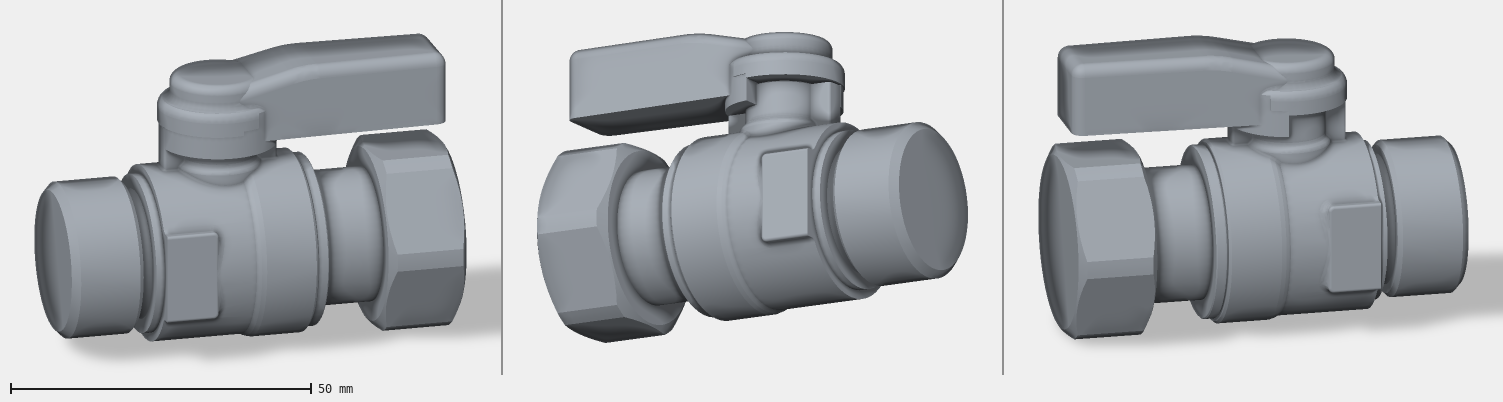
import cadquery as cq
import math


tolerance = 0.015

thread_end = 11.5
thread_chamfer_end = 12.3
collar_start = 14.2
body_start = 15.7
ring_start = 31.95
ring_end = 41.7
flange_start = 42.0
flange_end = 43.75
nut_start = 53.9
nut_end = 67.4
stem_y = 28.4

thread_radius = 13.15
thread_end_chamfer = 1.3
thread_back_chamfer = 0.75
groove_radius = 10.4
groove_side_depth = 0.55
collar_radius = 13.35
body_radius = 14.8
ring_radius = 15.45
ring_bevel = 0.4
flange_radius = 14.55
flange_bevel = 0.2
undercut_radius = 14.3
neck_radius = 11.3
shoulder_blend = 0.8

nut_across_flats = 29.9
nut_corner_radius = 16.48
nut_bevel_angle = 30.0
nut_bevel_length = 1.1

pad_half_width = 14.95
pad_half_height = 7.55
pad_end = 24.6
pad_corner = 0.9
pad_edge_round = 0.5
pad_root_fillet = 1.35

stem_radius = 6.5
stem_base_radius = 7.4
flare_top = 16.2
stem_top = 22.1
spindle_radius = 5.7
flare_round = 0.8
stem_root_fillet = 0.4
rib_reach = 9.875
rib_half_width = 1.95
rib_round = 0.5
rib_root_fillet = 0.35

cap_radius = 10.075
cap_bottom = 22.45
cap_round_start = 24.9
cap_shoulder = 26.4
hub_radius = 8.0
neck_round = 1.3
cap_shoulder_radius = hub_radius + neck_round
hub_top = 30.565
hub_round = 1.55

skirt_radius = 9.875
skirt_bottom = 18.6
skirt_round = 1.15
skirt_opening_x = 2.0
skirt_opening_y = stem_y + 1.9
cap_notch_y = stem_y + 4.8
cap_notch_bottom = 23.2

lever_end = 66.3
lever_bottom = 20.4
lever_top = 32.5
lever_end_half_width = 6.75
lever_root_half_width = 7.9
lever_round = 1.95
lever_bend_start = 43.95
lever_bend_radius = 20.9
lever_slope_angle = math.radians(13.5)
lever_root_fillet = 0.8


def edges_where(part, test):
    """Pick the edges whose points all pass the test."""
    samples = (0.1, 0.5, 0.9)
    edges = [e for e in part.edges().vals() if all(test(e.positionAt(t)) for t in samples)]
    return part.newObject(edges)


def flow_distance(point):
    return math.hypot(point.x, point.z)


def stem_distance(point):
    return math.hypot(point.x, point.y - stem_y)


def revolve_about_flow(profile):
    """Turn a closed (radius, y) profile about the flow axis."""
    return profile.close().revolve(360, (0, 0, 0), (0, 1, 0))


def revolve_about_stem(profile):
    """Turn a closed (radius, z) profile about Z and move it onto the stem axis."""
    return profile.close().revolve(360, (0, 0, 0), (0, 1, 0)).translate((0, stem_y, 0))


def stem_cylinder(radius, bottom, top):
    return cq.Workplane("XY", origin=(0, stem_y, bottom)).circle(radius).extrude(top - bottom)


def make_body():
    groove_lip = groove_radius + groove_side_depth
    profile = (
        cq.Workplane("XY")
        .lineTo(thread_radius - thread_end_chamfer, 0)
        .lineTo(thread_radius, thread_end_chamfer)
        .lineTo(thread_radius, thread_end)
        .lineTo(thread_radius - thread_back_chamfer, thread_chamfer_end)
        .lineTo(groove_lip, thread_chamfer_end)
        .threePointArc(
            (groove_radius, (thread_chamfer_end + collar_start) / 2),
            (groove_lip, collar_start),
        )
        .lineTo(collar_radius, collar_start)
        .lineTo(collar_radius, body_start)
        .lineTo(body_radius, body_start)
        .lineTo(body_radius, ring_start - shoulder_blend)
        .lineTo(ring_radius - ring_bevel / 2, ring_start)
        .lineTo(ring_radius, ring_start + shoulder_blend)
        .lineTo(ring_radius, ring_end - ring_bevel)
        .lineTo(ring_radius - ring_bevel, ring_end)
        .lineTo(undercut_radius, ring_end)
        .lineTo(undercut_radius, flange_start)
        .lineTo(flange_radius, flange_start)
        .lineTo(flange_radius, flange_end - flange_bevel)
        .lineTo(flange_radius - flange_bevel, flange_end)
        .lineTo(neck_radius, flange_end)
        .lineTo(neck_radius, nut_start)
        .lineTo(0, nut_start)
    )
    return revolve_about_flow(profile)


def make_nut():
    corner_distance = nut_across_flats / math.sqrt(3)
    hexagon = (
        cq.Workplane("XZ", origin=(0, nut_end, 0))
        .polygon(6, 2 * corner_distance)
        .extrude(nut_end - nut_start)
    )
    end_radius = nut_corner_radius - nut_bevel_length / math.tan(math.radians(nut_bevel_angle))
    envelope = revolve_about_flow(
        cq.Workplane("XY")
        .moveTo(0, nut_start)
        .lineTo(end_radius, nut_start)
        .lineTo(nut_corner_radius, nut_start + nut_bevel_length)
        .lineTo(nut_corner_radius, nut_end - nut_bevel_length)
        .lineTo(end_radius, nut_end)
        .lineTo(0, nut_end)
    )
    return hexagon.intersect(envelope)


def add_wrench_pads(body):
    length = pad_end - body_start
    pads = (
        cq.Workplane("XY")
        .box(2 * pad_half_width, length, 2 * pad_half_height)
        .edges(">Y and |X")
        .fillet(pad_corner)
        .faces("<X or >X")
        .edges("not <Y")
        .fillet(pad_edge_round)
        .translate((0, body_start + length / 2, 0))
    )

    def on_pad_root(point):
        on_body = abs(flow_distance(point) - body_radius) < tolerance
        return on_body and body_start + tolerance < point.y < pad_end + tolerance

    return edges_where(body.union(pads), on_pad_root).fillet(pad_root_fillet)


def make_stem():
    flare_bottom = flare_top - (stem_base_radius - stem_radius)
    stem = revolve_about_stem(
        cq.Workplane("XZ")
        .lineTo(stem_base_radius, 0)
        .lineTo(stem_base_radius, flare_bottom)
        .lineTo(stem_radius, flare_top)
        .lineTo(stem_radius, stem_top)
        .lineTo(spindle_radius, stem_top)
        .lineTo(spindle_radius, cap_bottom)
        .lineTo(0, cap_bottom)
    )
    near_axis = 0.7
    flare_circles = cq.selectors.BoxSelector(
        (-near_axis, stem_y - near_axis, flare_bottom - near_axis),
        (near_axis, stem_y + near_axis, flare_top + near_axis),
    )
    return stem.edges(flare_circles).fillet(flare_round)


def add_stem(body):
    """Join the stem to the body and soften the saddle-shaped seam between them."""

    def on_stem_root(point):
        on_body = body_radius - tolerance < flow_distance(point) < ring_radius + tolerance
        on_stem = stem_radius < stem_distance(point) < stem_base_radius + tolerance
        return on_body and on_stem and point.z > 0

    return edges_where(body.union(make_stem()), on_stem_root).fillet(stem_root_fillet)


def add_ribs(body):
    """One plate across the stem forms both stop ribs, with ends rounded to the skirt radius."""
    plate = (
        cq.Workplane("XY", origin=(0, stem_y, 0))
        .rect(2 * rib_half_width, 3 * rib_reach)
        .extrude(stem_top)
    )
    ribs = plate.intersect(stem_cylinder(rib_reach, 0, stem_top)).edges("|Z").fillet(rib_round)

    def in_rib_corner(point):
        on_stem = abs(stem_distance(point) - stem_radius) < tolerance
        on_rib = abs(abs(point.x) - rib_half_width) < tolerance
        return on_stem and on_rib and point.z > flare_top

    return edges_where(body.union(ribs), in_rib_corner).fillet(rib_root_fillet)


def make_cap():
    arc = math.sqrt(0.5)
    hub_flat = hub_radius - hub_round
    return revolve_about_stem(
        cq.Workplane("XZ")
        .moveTo(0, cap_bottom)
        .lineTo(cap_radius, cap_bottom)
        .lineTo(cap_radius, cap_round_start)
        .tangentArcPoint((cap_shoulder_radius, cap_shoulder), relative=False)
        .threePointArc(
            (hub_radius + neck_round * (1 - arc), cap_shoulder + neck_round * (1 - arc)),
            (hub_radius, cap_shoulder + neck_round),
        )
        .lineTo(hub_radius, hub_top - hub_round)
        .threePointArc(
            (hub_flat + hub_round * arc, hub_top - hub_round * (1 - arc)),
            (hub_flat, hub_top),
        )
        .lineTo(0, hub_top)
    )


def make_skirt_opening():
    """Quarter-turn clearance below the cap, in which the front stop rib travels."""
    opening = cq.Workplane("XY").box(
        2 * cap_radius, 2 * cap_radius, cap_bottom - skirt_bottom, centered=False
    )
    corner = (skirt_opening_x - 2 * cap_radius, skirt_opening_y - 2 * cap_radius, skirt_bottom)
    return opening.translate(corner)


def trim_cap_rim(cap):
    """Step the rear of the cap rim in to the skirt radius, higher up beside the lever."""
    for start, top in ((skirt_opening_y, cap_notch_bottom), (cap_notch_y, cap_shoulder)):
        rim = stem_cylinder(cap_radius + 0.7, cap_bottom, top)
        rim = rim.cut(stem_cylinder(skirt_radius, cap_bottom, top))
        rear = cq.Workplane("XY", origin=(0, start + cap_radius, cap_bottom)).box(
            4 * cap_radius, 2 * cap_radius, top - cap_bottom, centered=(True, True, False)
        )
        cap = cap.cut(rim.intersect(rear))
    return cap


def make_lever():
    """Tapered bar, bent down towards the hub, with rounded top and end edges."""
    bend_end = lever_bend_start - lever_bend_radius * math.sin(lever_slope_angle)
    bend_drop = lever_bend_radius * (1 - math.cos(lever_slope_angle))
    half_angle = lever_slope_angle / 2
    bend_mid = (
        lever_bend_start - lever_bend_radius * math.sin(half_angle),
        lever_top - lever_bend_radius * (1 - math.cos(half_angle)),
    )
    root_top = lever_top - bend_drop - (bend_end - stem_y) * math.tan(lever_slope_angle)
    side_view = (
        cq.Workplane("YZ")
        .moveTo(stem_y, lever_bottom)
        .lineTo(lever_end, lever_bottom)
        .lineTo(lever_end, lever_top)
        .lineTo(lever_bend_start, lever_top)
        .threePointArc(bend_mid, (bend_end, lever_top - bend_drop))
        .lineTo(stem_y, root_top)
        .close()
        .extrude(lever_root_half_width, both=True)
    )
    plan = (
        cq.Workplane("XY")
        .moveTo(-lever_root_half_width, stem_y)
        .lineTo(-lever_end_half_width, lever_end)
        .lineTo(lever_end_half_width, lever_end)
        .lineTo(lever_root_half_width, stem_y)
        .close()
        .extrude(lever_top)
    )
    lever = side_view.intersect(plan).edges(">Y and |Z").fillet(lever_round)
    return lever.faces(">Z").edges("not <Y").fillet(lever_round)


def make_lever_on_skirt():
    """Lever joined to the skirt core, with fillets where its sides meet the core."""
    core = stem_cylinder(skirt_radius, skirt_bottom, cap_shoulder)
    core = core.faces(">Z").edges().fillet(skirt_round)

    def in_lever_corner(point):
        on_skirt = abs(stem_distance(point) - skirt_radius) < tolerance
        above_bottom = lever_bottom + tolerance < point.z < cap_shoulder - skirt_round
        beside_lever = lever_end_half_width < abs(point.x) < lever_root_half_width
        return on_skirt and above_bottom and beside_lever and point.y > stem_y

    return edges_where(core.union(make_lever()), in_lever_corner).fillet(lever_root_fillet)


body = add_ribs(add_stem(add_wrench_pads(make_body())))
handle = trim_cap_rim(make_cap()).union(make_lever_on_skirt()).cut(make_skirt_opening())

result = body.union(make_nut()).union(handle)